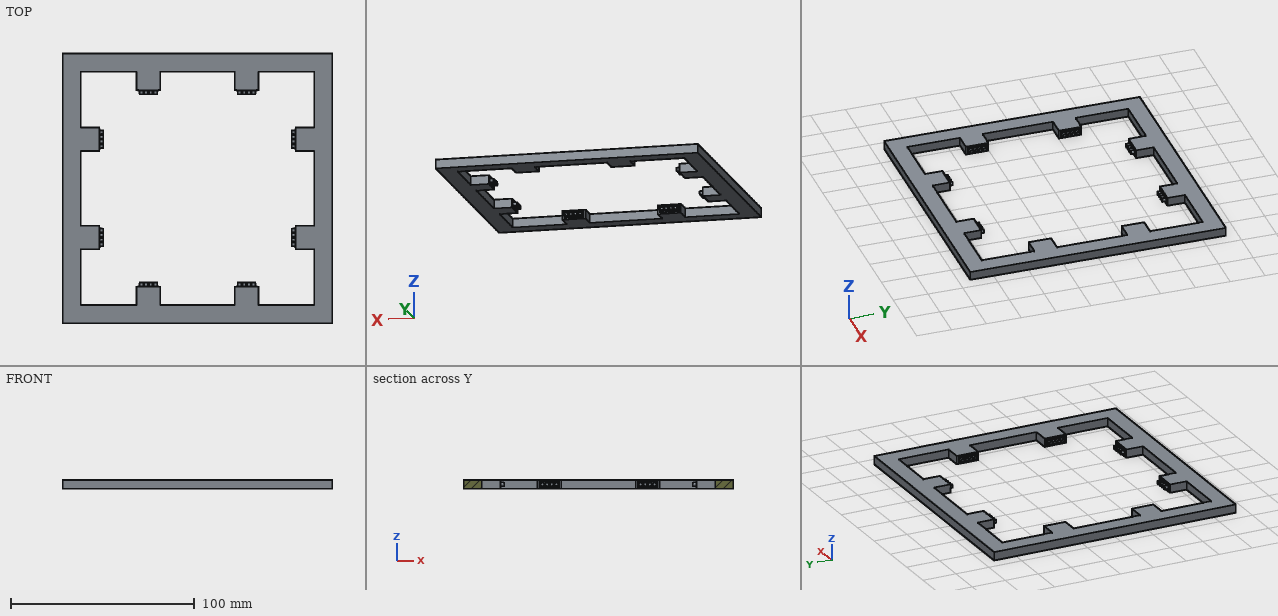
import cadquery as cq

frame_side = 146.8
frame_width = 10.0
thickness = 5.0
opening_side = frame_side - 2 * frame_width

side_count = 4
tab_length = 10.0
tab_width = 13.0
tab_spacing = 53.4
tab_tip = opening_side / 2 - tab_length

collar_width = 10.8
collar_height = 3.2
collar_length = 0.2

pin_count = 4
pin_pitch = 2.54
pin_root_diameter = 2.3
pin_tip_diameter = 2.0
pin_reach = 2.2


def make_frame():
    """Flat square frame with its lower face on Z = 0."""
    outer = cq.Workplane("XY").rect(frame_side, frame_side)
    return outer.rect(opening_side, opening_side).extrude(thickness)


def make_tab():
    """Tab centred on X = 0, running from the middle of the +Y frame bar to the tab tip."""
    length_with_overlap = tab_length + frame_width / 2
    return (
        cq.Workplane("XY")
        .center(0, tab_tip + length_with_overlap / 2)
        .rect(tab_width, length_with_overlap)
        .extrude(thickness)
    )


def tab_end_plane(x):
    """Sketch plane on the tab end face, at mid thickness, with its normal along -Y."""
    return cq.Workplane("XZ", origin=(x, tab_tip, thickness / 2))


def make_collar():
    """Rectangular step on the tab end face."""
    return tab_end_plane(0).rect(collar_width, collar_height).extrude(collar_length)


def make_pin(x):
    """Tapered pin pointing along -Y."""
    root = tab_end_plane(x).circle(pin_root_diameter / 2)
    return root.workplane(offset=pin_reach).circle(pin_tip_diameter / 2).loft()


def make_connector():
    """Tab with its collar and its row of pins, centred on X = 0."""
    connector = make_tab().union(make_collar())
    first_pin_x = -pin_pitch * (pin_count - 1) / 2
    for index in range(pin_count):
        connector = connector.union(make_pin(first_pin_x + index * pin_pitch))
    return connector


def make_part():
    """Frame with a pair of connectors repeated on all four sides."""
    part = make_frame()
    connector = make_connector()
    for side in range(side_count):
        angle = side * 360 / side_count
        for x in (-tab_spacing / 2, tab_spacing / 2):
            part = part.union(connector.translate((x, 0, 0)).rotate((0, 0, 0), (0, 0, 1), angle))
    return part


result = make_part()